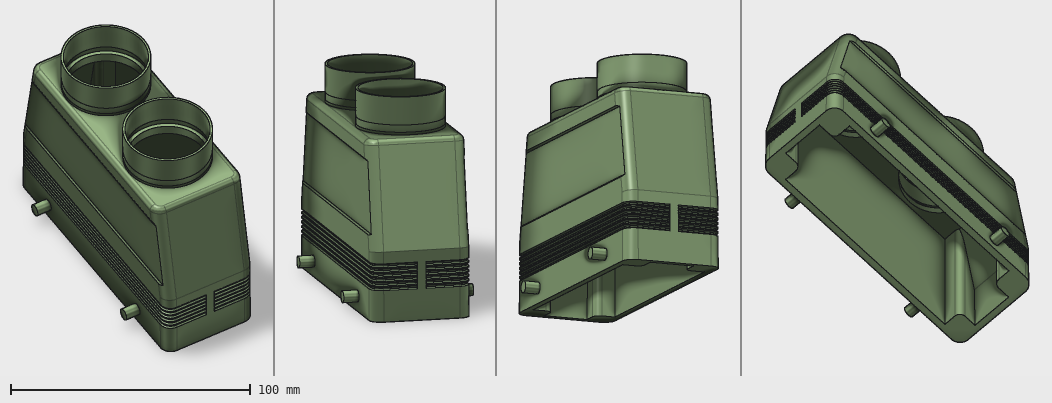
import cadquery as cq
import math

LENGTH = 120.0
WIDTH = 43.0
BODY_HEIGHT = 75.8
TOTAL_HEIGHT = 92.0
CORNER_RADIUS = 5.0
ROOF_EDGE_RADIUS = 2.5

KINK_HEIGHT = 29.9
KINK_INSET = 0.4
ROOF_INSET = 8.9

WALL = 3.0
ROOF_THICKNESS = 3.1
POST_X = 48.0
POST_Y = 9.7
POST_RADIUS = 3.0

RECESS_BOTTOM = 36.2
RECESS_TOP = 67.7
RECESS_DEPTH = 0.7

GROOVE_COUNT = 6
FIRST_GROOVE_HEIGHT = 14.3
LAST_GROOVE_HEIGHT = 24.1
GROOVE_FLOOR = 0.6
GROOVE_FLANK = 0.45
GROOVE_DEPTH = 0.78
GROOVE_REACH = 0.4
GROOVE_GAP = 3.8

TUBE_SPACING = 50.0
TUBE_DIAMETER = 37.5
TUBE_BORE = 35.5
ENTRY_BORE = 33.6
LEDGE_HEIGHT = 76.9
RELIEF_DIAMETER = 37.2
RELIEF_TOP = 80.0

PIN_SPACING = 72.0
PIN_DIAMETER = 5.0
PIN_HEIGHT = 6.6
PIN_SPAN = 56.0

CLEARANCE = 6.0


def tapered_block(inset, height, roof_inset, width):
    """Block with the hood's kinked end faces, moved inward by inset, centred on Y."""
    half = LENGTH / 2 - inset
    outline = [
        (-half, 0),
        (half, 0),
        (half - KINK_INSET, KINK_HEIGHT),
        (half - roof_inset, height),
        (roof_inset - half, height),
        (KINK_INSET - half, KINK_HEIGHT),
    ]
    return cq.Workplane("XZ").polyline(outline).close().extrude(width / 2, both=True)


def hood_body():
    block = tapered_block(0, BODY_HEIGHT, ROOF_INSET, WIDTH)
    rounded = block.edges("not(#Z)").fillet(CORNER_RADIUS)
    return rounded.faces(">Z").edges().fillet(ROOF_EDGE_RADIUS)


def side_recess(side):
    """Trapezoid bar cut from the long side at +Y (side = 1) or -Y (side = -1)."""
    face = side * WIDTH / 2
    floor = face - side * RECESS_DEPTH
    outline = [
        (face, RECESS_BOTTOM),
        (floor, RECESS_BOTTOM + RECESS_DEPTH),
        (floor, RECESS_TOP - RECESS_DEPTH),
        (face, RECESS_TOP),
    ]
    return cq.Workplane("YZ").polyline(outline).close().extrude(LENGTH / 2, both=True)


def rounded_slab(height, base, length, width, radius, taper=0):
    sketch = cq.Sketch().rect(length, width).vertices().fillet(radius)
    return cq.Workplane("XY").workplane(offset=base).placeSketch(sketch).extrude(height, taper=taper)


def grip_groove(middle):
    """Ring with a trapezoid section that narrows toward its floor, open at both end faces.

    The section carries on past the surface at the same slope, so the flanks cut cleanly.
    """
    flank_slope = GROOVE_FLANK / GROOVE_DEPTH
    full_depth = GROOVE_DEPTH + GROOVE_REACH
    flank_height = flank_slope * full_depth
    flank_angle = math.degrees(math.atan2(full_depth, flank_height))
    height = GROOVE_FLOOR + 2 * flank_height
    bottom = middle - height / 2
    surface_length = LENGTH - 2 * KINK_INSET * middle / KINK_HEIGHT
    outer_length = surface_length + 2 * GROOVE_REACH
    outer_width = WIDTH + 2 * GROOVE_REACH
    floor_length = surface_length - 2 * GROOVE_DEPTH
    floor_width = WIDTH - 2 * GROOVE_DEPTH

    lower_flank = rounded_slab(
        flank_height, bottom, outer_length, outer_width, CORNER_RADIUS + GROOVE_REACH, flank_angle
    )
    upper_flank = lower_flank.mirror("XY", (0, 0, middle))
    core = rounded_slab(height, bottom, floor_length, floor_width, CORNER_RADIUS - GROOVE_DEPTH)
    ring = cq.Workplane("XY").box(outer_length, outer_width, height).translate((0, 0, middle))
    gap = cq.Workplane("XY").box(LENGTH + CLEARANCE, GROOVE_GAP, 2 * BODY_HEIGHT)
    return ring.cut(core).cut(lower_flank).cut(upper_flank).cut(gap)


def cavity():
    height = BODY_HEIGHT - ROOF_THICKNESS
    slope = (ROOF_INSET - KINK_INSET) / (BODY_HEIGHT - KINK_HEIGHT)
    roof_inset = ROOF_INSET - slope * ROOF_THICKNESS
    space = tapered_block(WALL, height, roof_inset, WIDTH - 2 * WALL)
    post_length = LENGTH / 2 - POST_X
    post_width = WIDTH / 2 - POST_Y
    for x_side in (-1, 1):
        for y_side in (-1, 1):
            inner_edge = ("<X" if x_side > 0 else ">X") + " and " + ("<Y" if y_side > 0 else ">Y")
            post = (
                cq.Workplane("XY")
                .center(x_side * (POST_X + post_length / 2), y_side * (POST_Y + post_width / 2))
                .rect(post_length, post_width)
                .extrude(BODY_HEIGHT)
                .edges("|Z")
                .edges(inner_edge)
                .fillet(POST_RADIUS)
            )
            space = space.cut(post)
    return space


def cylinders(points, diameter, base, top):
    circles = cq.Workplane("XY").workplane(offset=base).pushPoints(points).circle(diameter / 2)
    return circles.extrude(top - base)


def locking_pins(side):
    """Two pins standing out from the wall at +Y (side = 1) or -Y (side = -1)."""
    root = WIDTH / 2 - WALL
    return (
        cq.Workplane("XZ", origin=(0, side * root, 0))
        .pushPoints([(x * PIN_SPACING / 2, PIN_HEIGHT) for x in (-1, 1)])
        .circle(PIN_DIAMETER / 2)
        .extrude(-side * (PIN_SPAN / 2 - root))
    )


hood = hood_body()
for side in (-1, 1):
    hood = hood.cut(side_recess(side))
groove_pitch = (LAST_GROOVE_HEIGHT - FIRST_GROOVE_HEIGHT) / (GROOVE_COUNT - 1)
for index in range(GROOVE_COUNT):
    hood = hood.cut(grip_groove(FIRST_GROOVE_HEIGHT + index * groove_pitch))
hood = hood.cut(cavity())

tube_centers = [(-TUBE_SPACING / 2, 0), (TUBE_SPACING / 2, 0)]
roof_underside = BODY_HEIGHT - ROOF_THICKNESS
hood = hood.union(cylinders(tube_centers, TUBE_DIAMETER, roof_underside, TOTAL_HEIGHT))
hood = hood.cut(cylinders(tube_centers, TUBE_BORE, LEDGE_HEIGHT, TOTAL_HEIGHT))
hood = hood.cut(cylinders(tube_centers, RELIEF_DIAMETER, LEDGE_HEIGHT, RELIEF_TOP))
hood = hood.cut(cylinders(tube_centers, ENTRY_BORE, roof_underside, TOTAL_HEIGHT))

for side in (-1, 1):
    hood = hood.union(locking_pins(side))

result = hood